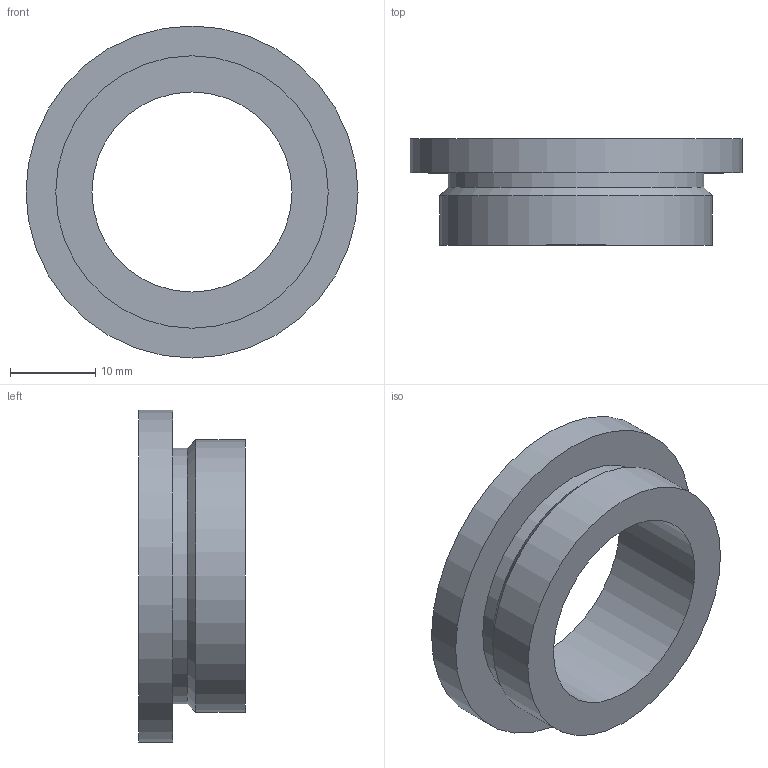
import cadquery as cq

bore_diameter = 23.5
groove_diameter = 30.0
sleeve_diameter = 32.0
flange_diameter = 39.0

total_length = 12.5
flange_thickness = 4.0
groove_width = 1.7

bore_radius = bore_diameter / 2
groove_radius = groove_diameter / 2
sleeve_radius = sleeve_diameter / 2
flange_radius = flange_diameter / 2
taper_length = sleeve_radius - groove_radius

flange_front = total_length - flange_thickness
groove_front = flange_front - groove_width
sleeve_back = groove_front - taper_length


def flanged_ring():
    """Revolve the half section of the ring around the Y axis."""
    half_section = (
        cq.Workplane("XY")
        .moveTo(bore_radius, 0)
        .lineTo(sleeve_radius, 0)
        .lineTo(sleeve_radius, sleeve_back)
        .lineTo(groove_radius, groove_front)
        .lineTo(groove_radius, flange_front)
        .lineTo(flange_radius, flange_front)
        .lineTo(flange_radius, total_length)
        .lineTo(bore_radius, total_length)
        .close()
    )
    return half_section.revolve(360, (0, 0, 0), (0, 1, 0))


result = flanged_ring()